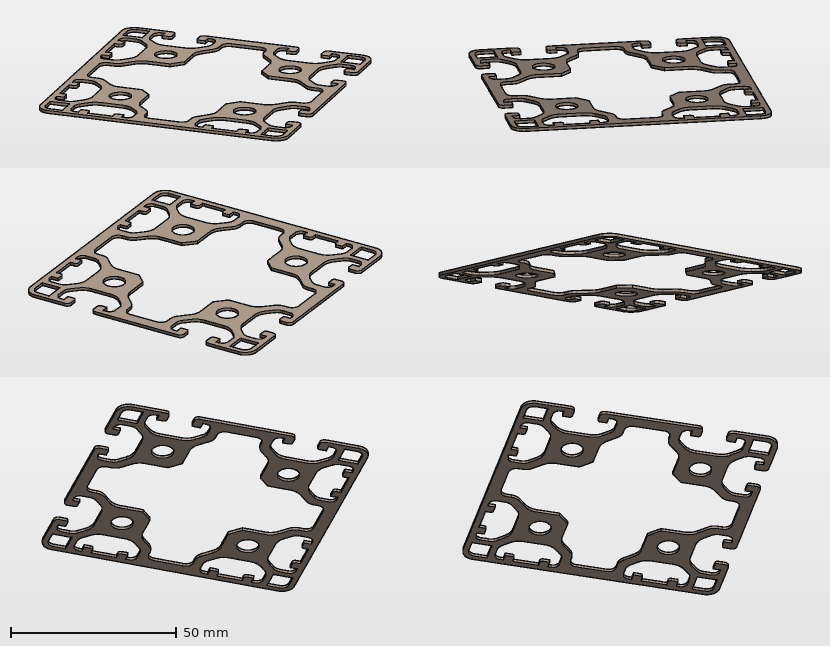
import cadquery as cq
import math


side = 80.0
half_side = side / 2
thickness = 1.0
outer_radius = 4.0

hub_offset = side / 4
hub_hole_diameter = 6.8
hub_half_width = 7.6
hub_chamfer = 3.4

slot_half_width = 10.0
slot_depth = 12.3
skin = 2.0
slot_slant_leg = 4.4
slot_shoulder_radius = 2.0
slot_bend_radius = 3.2
slot_floor_radius = 5.3

mouth_half_width = 4.0
lip_outer = 7.0
lip_depth = 4.3
lip_face_radius = 1.4
lip_tip_radius = 0.9

frame_wall = 4.0
slot_wall = 2.9
slant_wall = 3.1
opening_corner_radius = 2.4
opening_bend_radius = 4.0
opening_hub_radius = 5.3

hollow_near = 1.8
hollow_far = 8.0
hollow_radius = outer_radius - hollow_near


def rounded_prism(corners):
    """Extrude a closed outline of (x, y, radius) corners; a zero radius leaves the corner sharp."""
    spans = []
    for i, (x, y, radius) in enumerate(corners):
        corner = cq.Vector(x, y)
        before = (cq.Vector(*corners[i - 1][:2]) - corner).normalized()
        after = (cq.Vector(*corners[(i + 1) % len(corners)][:2]) - corner).normalized()
        half_angle = before.getAngle(after) / 2
        tangent = radius / math.tan(half_angle)
        apex_distance = radius / math.sin(half_angle) - radius
        apex = corner + (before + after).normalized() * apex_distance
        spans.append((corner + before * tangent, apex, corner + after * tangent, radius))

    outline = cq.Workplane("XY").moveTo(spans[-1][2].x, spans[-1][2].y)
    for start, apex, end, radius in spans:
        outline = outline.lineTo(start.x, start.y)
        if radius > 0:
            outline = outline.threePointArc((apex.x, apex.y), (end.x, end.y))
    return outline.close().extrude(thickness)


def rectangle(x_min, x_max, y_min, y_max):
    return rounded_prism([(x_min, y_min, 0), (x_max, y_min, 0), (x_max, y_max, 0), (x_min, y_max, 0)])


def slot_cutter(is_open):
    """T-slot on the +Y side, centred on x = 0."""
    half_cavity = [
        (slot_half_width, half_side - skin, slot_shoulder_radius),
        (slot_half_width, half_side - slot_depth + slot_slant_leg, slot_bend_radius),
        (slot_half_width - slot_slant_leg, half_side - slot_depth, slot_floor_radius),
    ]
    mirrored = [(-x, y, radius) for x, y, radius in reversed(half_cavity)]
    cutter = rounded_prism(half_cavity + mirrored)
    if is_open:
        mouth_reach = mouth_half_width + lip_face_radius
        cutter = cutter.union(rectangle(-mouth_reach, mouth_reach, half_side - lip_depth, half_side))
    for direction in (-1, 1):
        lip = rounded_prism([
            (direction * mouth_half_width, half_side, lip_face_radius if is_open else 0),
            (direction * lip_outer, half_side, 0),
            (direction * lip_outer, half_side - lip_depth, 0),
            (direction * mouth_half_width, half_side - lip_depth, lip_tip_radius),
        ])
        cutter = cutter.cut(lip)
    return cutter


def central_opening():
    """Opening left between the hubs and the slot walls, with fourfold symmetry."""
    hub_face = hub_offset - hub_half_width
    slot_face = hub_offset - slot_half_width - slot_wall
    slot_slant = (hub_offset - slot_half_width) + (half_side - slot_depth + slot_slant_leg)
    slant = slot_slant - slant_wall * math.sqrt(2)
    octant = [
        (slot_face, half_side - frame_wall, opening_corner_radius),
        (slot_face, slant - slot_face, opening_bend_radius),
        (hub_face, slant - hub_face, opening_hub_radius),
        (hub_face, hub_face + hub_chamfer, 0),
    ]
    quadrant = octant + [(y, x, radius) for x, y, radius in reversed(octant)]
    corners = []
    for _ in range(4):
        corners += quadrant
        quadrant = [(y, -x, radius) for x, y, radius in quadrant]
    return rounded_prism(corners)


def corner_hollow():
    """Square hollow in the +X +Y corner, rounded concentric with the outer corner."""
    near = half_side - hollow_near
    far = half_side - hollow_far
    return rounded_prism([(far, far, 0), (near, far, 0), (near, near, hollow_radius), (far, near, 0)])


result = cq.Workplane("XY").rect(side, side).extrude(thickness).edges("|Z").fillet(outer_radius)
result = result.cut(central_opening())
hub_holes = (
    cq.Workplane("XY")
    .rect(2 * hub_offset, 2 * hub_offset, forConstruction=True)
    .vertices()
    .circle(hub_hole_diameter / 2)
    .extrude(thickness)
)
result = result.cut(hub_holes)

hollow = corner_hollow()
for turn, is_open in enumerate((True, False, False, True)):
    angle = 90 * turn
    result = result.cut(hollow.rotate((0, 0, 0), (0, 0, 1), angle))
    slot = slot_cutter(is_open)
    for offset in (-hub_offset, hub_offset):
        placed_slot = slot.translate((offset, 0, 0)).rotate((0, 0, 0), (0, 0, 1), angle)
        result = result.cut(placed_slot)